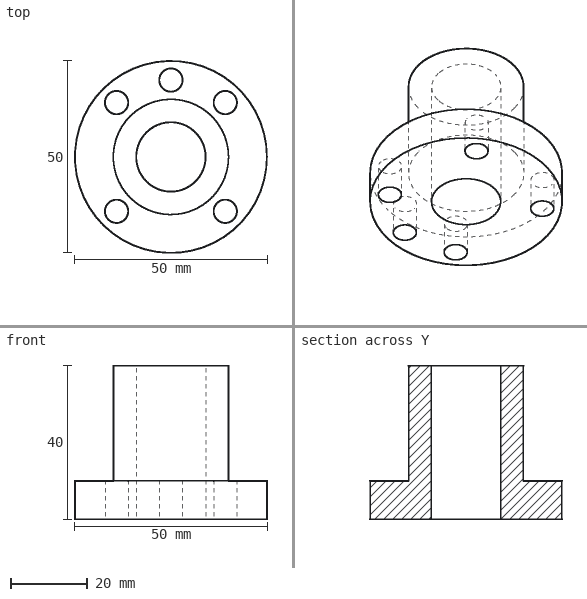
import cadquery as cq

flange_diameter = 50
flange_thickness = 10

total_height = 40
hub_diameter = 30
bore_diameter = 18

bolt_hole_diameter = 6
bolt_circle_radius = (flange_diameter + hub_diameter) / 4
bolt_angles = (45, 90, 135, 225, 315)


def upright_cylinder(diameter, height):
    """Cylinder on the Z axis, standing on the base plane."""
    return cq.Workplane("XY").circle(diameter / 2).extrude(height)


def bolt_hole(angle):
    """Cutter for one bolt hole through the flange."""
    cutter = upright_cylinder(bolt_hole_diameter, flange_thickness)
    return cutter.translate((bolt_circle_radius, 0, 0)).rotate((0, 0, 0), (0, 0, 1), angle)


flange = upright_cylinder(flange_diameter, flange_thickness)
hub = upright_cylinder(hub_diameter, total_height)
bore = upright_cylinder(bore_diameter, total_height)

result = flange.union(hub).cut(bore)
for bolt_angle in bolt_angles:
    result = result.cut(bolt_hole(bolt_angle))